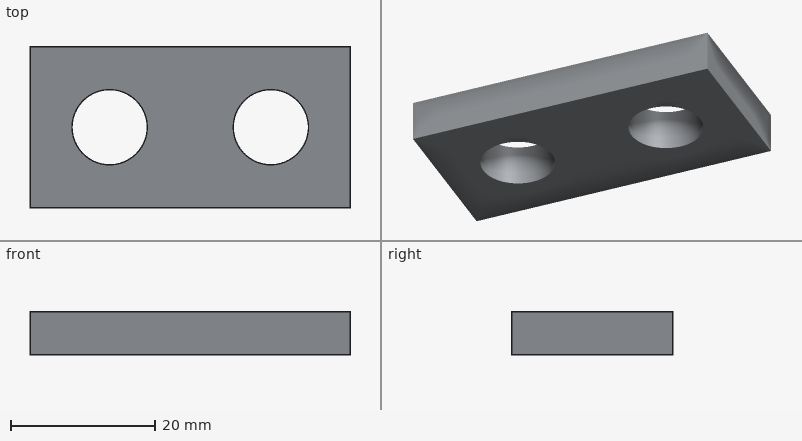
import cadquery as cq

length = 44.45
width = 22.35
thickness = 6.0

hole_diameter = 10.4
hole_spacing = width

plate = cq.Workplane("XY").box(length, width, thickness)

result = (
    plate.faces(">Z")
    .workplane()
    .rarray(hole_spacing, 0.45, 2, 1)
    .hole(hole_diameter)
)